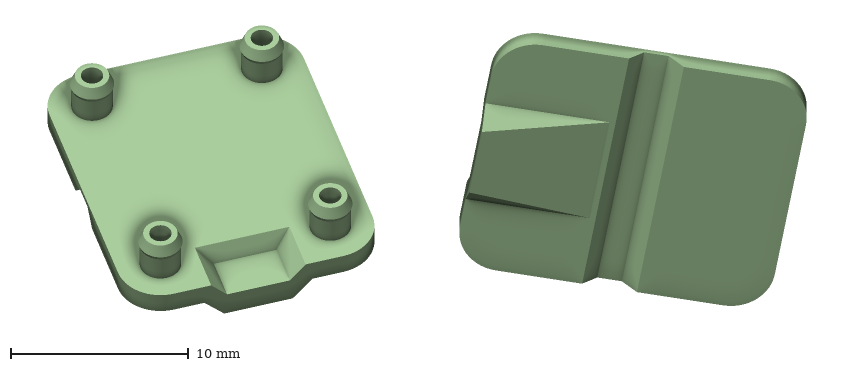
import cadquery as cq

plate_length = 18.0
plate_width = 15.0
plate_thickness = 1.28
corner_radius = 2.5

pin_spacing_x = 12.98
pin_offset_x = 0.027
pin_spacing_y = 10.0
pin_height = 2.45
pin_diameter = 2.34
collar_diameter = 2.5
collar_base_height = 1.55
collar_top_height = 1.78
pin_tip_diameter = 1.95
pin_bore_diameter = 1.26

groove_mouth_width = 3.13
groove_roof_width = 1.4
groove_depth = 0.94

ramp_length = 7.1
ramp_drop = 1.22
ramp_root_width = 6.37
ramp_foot_width = 4.03

recess_length = 3.1
recess_width = 5.56
recess_depth = 1.0
recess_side_run = 0.94
recess_end_run = 0.58

end_x = plate_length / 2


def make_plate():
    """Rounded plate with its underside at Z = 0."""
    return (
        cq.Workplane("XY")
        .box(plate_length, plate_width, plate_thickness, centered=(True, True, False))
        .edges("|Z")
        .fillet(corner_radius)
    )


def make_groove():
    """Trapezoidal groove running the full width of the plate."""
    mouth = groove_mouth_width / 2
    roof = groove_roof_width / 2
    return (
        cq.Workplane("XZ")
        .polyline([(-mouth, 0), (mouth, 0), (roof, groove_depth), (-roof, groove_depth)])
        .close()
        .extrude(plate_width / 2, both=True)
    )


def make_ramp():
    """Trapezoidal rib along X, trimmed to a wedge that is deepest at the +X end."""
    root = ramp_root_width / 2
    foot = ramp_foot_width / 2
    rib = (
        cq.Workplane("YZ", origin=(end_x - ramp_length, 0, 0))
        .polyline([(-root, 0), (root, 0), (foot, -ramp_drop), (-foot, -ramp_drop)])
        .close()
        .extrude(ramp_length)
    )
    wedge = (
        cq.Workplane("XZ")
        .polyline([(end_x - ramp_length, 0), (end_x, 0), (end_x, -ramp_drop)])
        .close()
        .extrude(ramp_root_width / 2, both=True)
    )
    return rib.intersect(wedge)


def make_recess():
    """Flat-floored recess with sloping walls on three sides."""
    floor_z = plate_thickness - recess_depth
    floor_length = recess_length - recess_end_run
    floor_width = recess_width - 2 * recess_side_run
    return (
        cq.Workplane("XY", origin=(end_x, 0, floor_z))
        .center(-floor_length / 2, 0)
        .rect(floor_length, floor_width)
        .workplane(offset=recess_depth)
        .center((floor_length - recess_length) / 2, 0)
        .rect(recess_length, recess_width)
        .loft(ruled=True)
    )


def make_pin():
    """Hollow pin with a wider collar and a tapered tip, its base at Z = 0."""
    bore = pin_bore_diameter / 2
    shaft = pin_diameter / 2
    collar = collar_diameter / 2
    profile = [
        (bore, 0),
        (shaft, 0),
        (shaft, collar_base_height),
        (collar, collar_top_height),
        (pin_tip_diameter / 2, pin_height),
        (bore, pin_height),
    ]
    return cq.Workplane("XZ").polyline(profile).close().revolve(360, (0, 0), (0, 1))


def make_pins():
    """Four pins in a rectangle, standing on the top face."""
    return (
        cq.Workplane("XY", origin=(pin_offset_x, 0, plate_thickness))
        .rarray(pin_spacing_x, pin_spacing_y, 2, 2)
        .eachpoint(make_pin().val(), combine=False)
    )


body = make_plate().union(make_ramp())
body = body.cut(make_groove()).cut(make_recess())
result = body.union(make_pins())